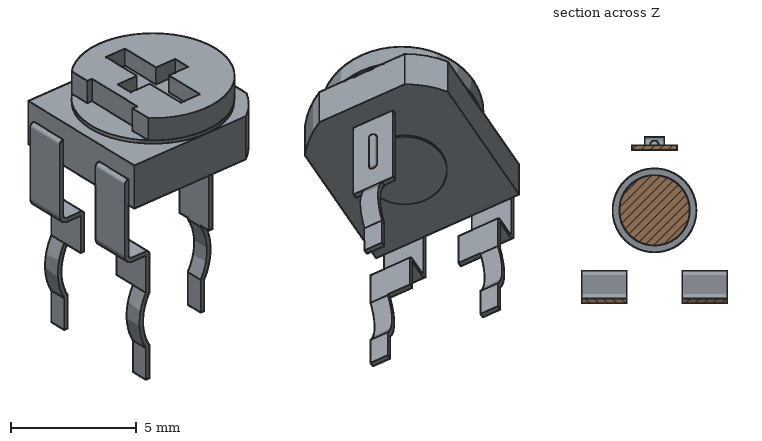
import cadquery as cq
import math


housing_width = 6.5
housing_length = 7.0
housing_bottom = 8.48
housing_top = 10.5
housing_back = housing_width / 2
housing_front = housing_back - housing_length
housing_centre_y = (housing_back + housing_front) / 2
corner_radius = 4.0

hub_diameter = 2.81
hub_rim_diameter = 3.35
hub_rim_top = 8.2
hub_rim_bottom = 8.1

rotor_diameter = housing_width
rotor_base_diameter = 6.48
rotor_top = 11.7
rotor_base_top = 10.66
rotor_flat_y = -2.25
rotor_notch_width = 2.77
rotor_notch_depth = 0.25
cross_length_x = 4.6
cross_width_x = 1.0
cross_length_y = 3.0
cross_width_y = 0.8
cross_depth = 0.8

sheet = 0.2
blade_width = 1.8
leg_width = 0.8
leg_spacing = 5.0
side_terminal_x = 2.0
side_leg_shift = (blade_width - leg_width) / 2
front_leg_y = housing_centre_y - leg_spacing / 2
back_leg_y = housing_centre_y + leg_spacing / 2
front_blade_top = 9.69
web_bottom = 5.78
web_bend_radius = 2 * sheet
bow_centre_z = 2.76
bow_inner_radius = 2.46
bow_outer_radius = bow_inner_radius + sheet
bow_offset = 2.22

rib_radius = 0.18
rib_length = 1.8
rib_centre_z = 6.28


def bow_half_height(radius, face_offset):
    """Half the height over which a bow arc stands proud of a leg face."""
    return math.sqrt(radius**2 - face_offset**2)


bow_inner_half = bow_half_height(bow_inner_radius, bow_offset - sheet / 2)
bow_outer_half = bow_half_height(bow_outer_radius, bow_offset + sheet / 2)
blade_bottom = bow_centre_z + bow_outer_half


def extrude_x(profile, width, centre_x):
    """Thicken a side profile to a width centred on centre_x."""
    return profile.extrude(width / 2, both=True).translate((centre_x, 0, 0))


def make_leg(leg_y, outward, centre_x):
    """Narrow solder leg with a bow toward outward (+1 or -1 along Y)."""
    inner_y = leg_y - outward * sheet / 2
    outer_y = leg_y + outward * sheet / 2
    bow_axis_y = leg_y - outward * bow_offset
    profile = (
        cq.Workplane("YZ")
        .moveTo(inner_y, 0)
        .lineTo(outer_y, 0)
        .lineTo(outer_y, bow_centre_z - bow_outer_half)
        .threePointArc((bow_axis_y + outward * bow_outer_radius, bow_centre_z), (outer_y, blade_bottom))
        .lineTo(inner_y, blade_bottom)
        .lineTo(inner_y, bow_centre_z + bow_inner_half)
        .threePointArc(
            (bow_axis_y + outward * bow_inner_radius, bow_centre_z),
            (inner_y, bow_centre_z - bow_inner_half),
        )
        .close()
    )
    return extrude_x(profile, leg_width, centre_x)


def make_side_terminal(side):
    """Front terminal: blade on the housing face, web inward, then the leg."""
    leg_inner = front_leg_y + sheet / 2
    leg_outer = front_leg_y - sheet / 2
    blade_outer = housing_front - sheet
    web_top = web_bottom + sheet
    profile = (
        cq.Workplane("YZ")
        .moveTo(leg_outer, blade_bottom)
        .lineTo(leg_outer, web_bottom)
        .lineTo(blade_outer + web_bend_radius, web_bottom)
        .radiusArc((blade_outer, web_bottom + web_bend_radius), web_bend_radius)
        .lineTo(blade_outer, front_blade_top - sheet)
        .radiusArc((housing_front, front_blade_top), sheet)
        .lineTo(housing_front, web_bottom + web_bend_radius)
        .radiusArc((housing_front + sheet, web_top), -sheet)
        .lineTo(leg_inner - sheet, web_top)
        .radiusArc((leg_inner, web_bottom), sheet)
        .lineTo(leg_inner, blade_bottom)
        .close()
    )
    centre_x = side * side_terminal_x
    blade = extrude_x(profile, blade_width, centre_x)
    leg = make_leg(front_leg_y, -1, centre_x + side * side_leg_shift)
    return blade.union(leg)


def make_rib():
    """Half capsule with round ends, standing out of the back of the middle blade."""
    rib_y = back_leg_y + sheet / 2
    rib_top = rib_centre_z + rib_length / 2
    rib_bottom = rib_centre_z - rib_length / 2
    half_outline = (
        cq.Workplane("XZ", origin=(0, rib_y, 0))
        .moveTo(0, rib_bottom - rib_radius)
        .radiusArc((rib_radius, rib_bottom), -rib_radius)
        .lineTo(rib_radius, rib_top)
        .radiusArc((0, rib_top + rib_radius), -rib_radius)
        .close()
    )
    return half_outline.revolve(180, (0, 0), (0, 1))


def make_middle_terminal():
    """Back terminal: straight blade under the housing with a rib, then the leg."""
    blade_height = housing_bottom - blade_bottom
    blade = (
        cq.Workplane("XY", origin=(0, back_leg_y, blade_bottom))
        .rect(blade_width, sheet)
        .extrude(blade_height)
    )
    return blade.union(make_rib()).union(make_leg(back_leg_y, 1, 0))


def make_disc(diameter, centre_y, bottom, top):
    return cq.Workplane("XY", origin=(0, centre_y, bottom)).circle(diameter / 2).extrude(top - bottom)


def make_housing_block():
    """Box whose two back corners are rounded about the hub axis."""
    corner_x = math.sqrt(corner_radius**2 - (housing_back - housing_centre_y) ** 2)
    corner_y = housing_centre_y + math.sqrt(corner_radius**2 - (housing_width / 2) ** 2)
    return (
        cq.Workplane("XY", origin=(0, 0, housing_bottom))
        .moveTo(-housing_width / 2, housing_front)
        .lineTo(housing_width / 2, housing_front)
        .lineTo(housing_width / 2, corner_y)
        .radiusArc((corner_x, housing_back), -corner_radius)
        .lineTo(-corner_x, housing_back)
        .radiusArc((-housing_width / 2, corner_y), -corner_radius)
        .close()
        .extrude(housing_top - housing_bottom)
    )


def make_hub():
    hub = make_disc(hub_diameter, housing_centre_y, hub_rim_bottom, housing_bottom)
    rim = make_disc(hub_rim_diameter, housing_centre_y, hub_rim_bottom, hub_rim_top)
    return hub.union(rim)


def make_cross_slot():
    floor = cq.Workplane("XY", origin=(0, 0, rotor_top - cross_depth))
    long_slot = floor.rect(cross_length_x, cross_width_x).extrude(cross_depth)
    short_slot = floor.rect(cross_width_y, cross_length_y).extrude(cross_depth)
    return long_slot.union(short_slot)


def make_rotor():
    """Round base and a knob with a notched flat at the front and a cross slot on top."""
    knob_height = rotor_top - rotor_base_top
    base = make_disc(rotor_base_diameter, 0, housing_top, rotor_base_top)
    knob = make_disc(rotor_diameter, 0, rotor_base_top, rotor_top)
    flat_depth = rotor_diameter / 2 + rotor_flat_y
    front_plane = cq.Workplane("XY", origin=(0, -rotor_diameter / 2, rotor_base_top))
    flat = front_plane.rect(rotor_diameter, 2 * flat_depth).extrude(knob_height)
    notch = front_plane.rect(rotor_notch_width, 2 * (flat_depth + rotor_notch_depth)).extrude(knob_height)
    return base.union(knob.cut(flat).cut(notch).cut(make_cross_slot()))


main_body = make_housing_block().union(make_hub()).union(make_rotor()).union(make_middle_terminal())

side_terminals = []
for side in (-1, 1):
    side_terminals.append(make_side_terminal(side).val())

result = cq.Compound.makeCompound([main_body.val(), *side_terminals])